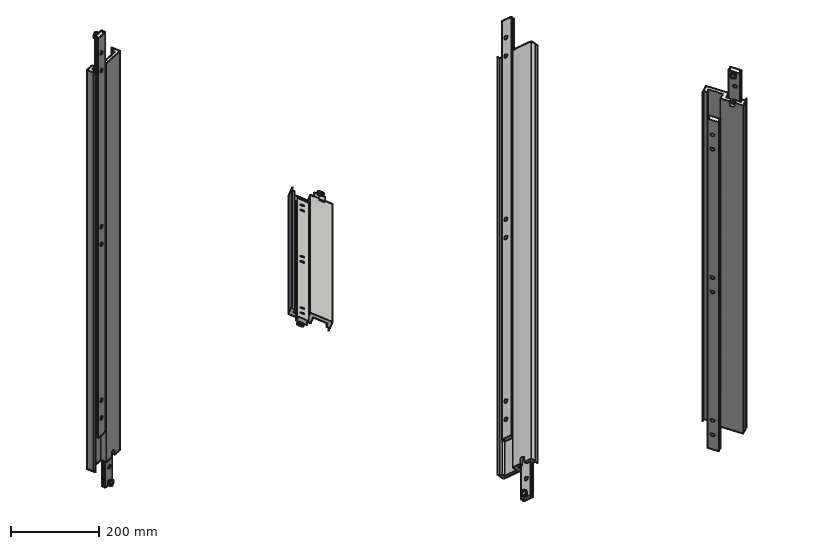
import cadquery as cq

TOTAL_LENGTH = 1330.0
BEAM_DEPTH = 23.0
BEAM_WIDTH = 100.0
BEAM_LENGTH = 1149.0
BEAM_DROP = 3.0
RAIL_LENGTH = 1152.0

WEB_THICKNESS = 8.0
DIVIDER_THICKNESS = 10.0
FLANGE_THICKNESS = 9.0
TIP_THICKNESS = 1.0
TIP_LENGTH = 7.0
CHANNEL_INNER_Y = DIVIDER_THICKNESS / 2
CHANNEL_OUTER_Y = BEAM_WIDTH / 2 - FLANGE_THICKNESS

NOTCH_WIDTH = 12.0
NOTCH_DEPTH = 16.0

RAIL_WIDTH = 28.0
RAIL_THICKNESS = 10.0
GROOVE_DEPTH = 3.0
RAIL_CENTER_Y = (CHANNEL_INNER_Y + CHANNEL_OUTER_Y) / 2

HOLE_DIAMETER = 9.0
HOLE_PITCH = 50.0
END_HOLE_DISTANCE = 50.0
HOLE_OUTWARD_SHIFT = 2.0

STEM_DIAMETER = 10.0
STEM_LENGTH = 5.0
HEAD_DIAMETER = 16.0
HEAD_THICKNESS = 3.0


def turn_about_x(shape):
    """Half turn about the X axis."""
    return shape.rotate((0, 0, 0), (1, 0, 0), 180)


def turn_about_z(shape):
    """Half turn about the beam's long axis."""
    return shape.rotate((0, 0, 0), (0, 0, 1), 180)


def make_channel_cutter():
    """Channel on the +Y half, open toward -X, with its flange thinned at the tip."""
    left = -BEAM_DEPTH / 2
    web_face = BEAM_DEPTH / 2 - WEB_THICKNESS
    tip_y = BEAM_WIDTH / 2 - TIP_THICKNESS
    return (
        cq.Workplane("XY", origin=(0, 0, -BEAM_LENGTH / 2))
        .moveTo(left, CHANNEL_INNER_Y)
        .lineTo(web_face, CHANNEL_INNER_Y)
        .lineTo(web_face, CHANNEL_OUTER_Y)
        .lineTo(left + TIP_LENGTH, CHANNEL_OUTER_Y)
        .lineTo(left + TIP_LENGTH, tip_y)
        .lineTo(left, tip_y)
        .close()
        .extrude(BEAM_LENGTH)
    )


def make_notch_cutter():
    """Round-ended notch in the lower web end, beside the second rail hole."""
    end_z = -BEAM_LENGTH / 2
    half_width = NOTCH_WIDTH / 2
    arc_z = end_z + NOTCH_DEPTH - half_width
    return (
        cq.Workplane("YZ", origin=(BEAM_DEPTH / 2 - WEB_THICKNESS, 0, 0))
        .moveTo(RAIL_CENTER_Y - half_width, end_z)
        .lineTo(RAIL_CENTER_Y - half_width, arc_z)
        .threePointArc(
            (RAIL_CENTER_Y, arc_z + half_width),
            (RAIL_CENTER_Y + half_width, arc_z),
        )
        .lineTo(RAIL_CENTER_Y + half_width, end_z)
        .close()
        .extrude(WEB_THICKNESS)
    )


def make_beam():
    """S-shaped middle beam; its two channels are a half turn about Z apart."""
    beam = cq.Workplane("XY").box(BEAM_DEPTH, BEAM_WIDTH, BEAM_LENGTH)
    channel = make_channel_cutter()
    notch = make_notch_cutter()
    beam = beam.cut(channel).cut(turn_about_z(channel))
    opposite_notch = turn_about_x(notch).mirror("YZ")
    return beam.cut(notch).cut(opposite_notch)


def make_rail():
    """Lower rail: grooved, drilled bar with a stop button at its lower end."""
    bottom_z = -TOTAL_LENGTH / 2
    left = -BEAM_DEPTH / 2
    inner_face = left + RAIL_THICKNESS
    rail = cq.Workplane("XY").box(
        RAIL_THICKNESS, RAIL_WIDTH, RAIL_LENGTH, centered=(False, True, False)
    ).translate((left, RAIL_CENTER_Y, bottom_z))

    for side in (-1, 1):
        edge_y = RAIL_CENTER_Y + side * RAIL_WIDTH / 2
        middle_x = left + RAIL_THICKNESS / 2
        groove = (
            cq.Workplane("XY", origin=(0, 0, bottom_z))
            .moveTo(middle_x - GROOVE_DEPTH, edge_y)
            .lineTo(middle_x, edge_y - side * GROOVE_DEPTH)
            .lineTo(middle_x + GROOVE_DEPTH, edge_y)
            .close()
            .extrude(RAIL_LENGTH)
        )
        rail = rail.cut(groove)

    hole_y = RAIL_CENTER_Y + HOLE_OUTWARD_SHIFT
    pair_offset = RAIL_LENGTH / 2 - END_HOLE_DISTANCE - HOLE_PITCH / 2
    holes = (
        cq.Workplane("YZ", origin=(left, hole_y, bottom_z + RAIL_LENGTH / 2))
        .pushPoints([
            (0, pair_z + side * HOLE_PITCH / 2)
            for pair_z in (-pair_offset, 0, pair_offset)
            for side in (-1, 1)
        ])
        .circle(HOLE_DIAMETER / 2)
        .extrude(RAIL_THICKNESS)
    )
    rail = rail.cut(holes)

    button = (
        cq.Workplane("YZ", origin=(inner_face, RAIL_CENTER_Y, bottom_z + HEAD_DIAMETER / 2))
        .circle(STEM_DIAMETER / 2)
        .extrude(STEM_LENGTH)
        .faces(">X")
        .workplane()
        .circle(HEAD_DIAMETER / 2)
        .extrude(HEAD_THICKNESS)
    )
    return rail.union(button)


beam = make_beam().translate((0, 0, -BEAM_DROP))
lower_rail = make_rail()
upper_rail = turn_about_x(lower_rail).mirror("YZ")

result = cq.Compound.makeCompound([beam.val(), lower_rail.val(), upper_rail.val()])